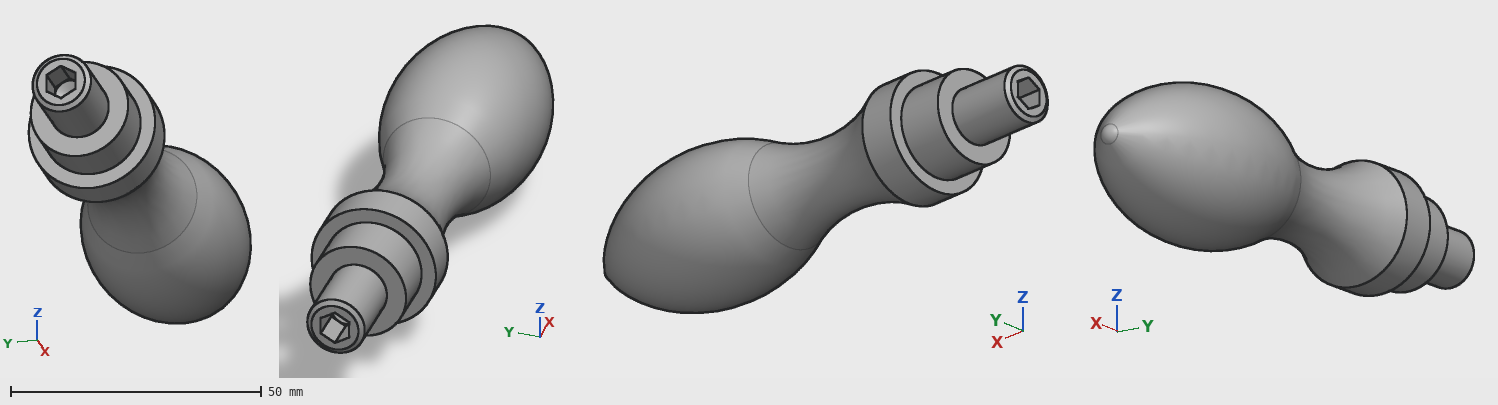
import cadquery as cq
import math

overall_length = 121.5

stud_end = 15.8
stud_radius = 12.0 / 2
spigot_end = 26.4
spigot_radius = 20.0 / 2
collar_end = 34.5
collar_radius = 26.0 / 2

chamfer_length = 0.7
chamfer_depth = 1.1

neck_waist_x = 54.1
neck_waist_radius = 7.9
bulb_start = 69.3
bulb_peak_x = 89.2
bulb_max_radius = 32.7 / 2
bulb_arc_radius = 41.3
tip_start = 120.4

socket_flats = 6.0
socket_depth = 7.3
socket_cone_depth = 1.7


def bulb_radius_at(x):
    """Radius of the bulb at a position along its axis."""
    half_chord = x - bulb_peak_x
    sag = bulb_arc_radius - math.sqrt(bulb_arc_radius**2 - half_chord**2)
    return bulb_max_radius - sag


def make_handle():
    """Revolve the half outline of the handle about X."""
    tip_radius = bulb_radius_at(tip_start)
    tip_length = overall_length - tip_start
    tip_sphere_radius = (tip_radius**2 + tip_length**2) / (2 * tip_length)
    outline = (
        cq.Workplane("XY")
        .lineTo(0, stud_radius - chamfer_depth)
        .lineTo(chamfer_length, stud_radius)
        .lineTo(stud_end, stud_radius)
        .lineTo(stud_end, spigot_radius)
        .lineTo(spigot_end, spigot_radius)
        .lineTo(spigot_end, collar_radius)
        .lineTo(collar_end, collar_radius)
        .threePointArc((neck_waist_x, neck_waist_radius), (bulb_start, bulb_radius_at(bulb_start)))
        .threePointArc((bulb_peak_x, bulb_max_radius), (tip_start, tip_radius))
        .radiusArc((overall_length, 0), tip_sphere_radius)
        .close()
    )
    return outline.revolve(360, (0, 0, 0), (1, 0, 0))


def make_socket():
    """Hexagonal recess, corners up and down, ending in a drill-point cone."""
    corner_radius = socket_flats / math.sqrt(3)
    corners = [
        (corner_radius * math.sin(math.radians(angle)), corner_radius * math.cos(math.radians(angle)))
        for angle in range(0, 360, 60)
    ]
    hexagon = cq.Workplane("YZ").polyline(corners).close().extrude(socket_depth)
    cone = cq.Workplane(
        cq.Solid.makeCone(
            socket_flats / 2,
            0,
            socket_cone_depth,
            cq.Vector(socket_depth, 0, 0),
            cq.Vector(1, 0, 0),
        )
    )
    return hexagon.union(cone)


result = make_handle().cut(make_socket())